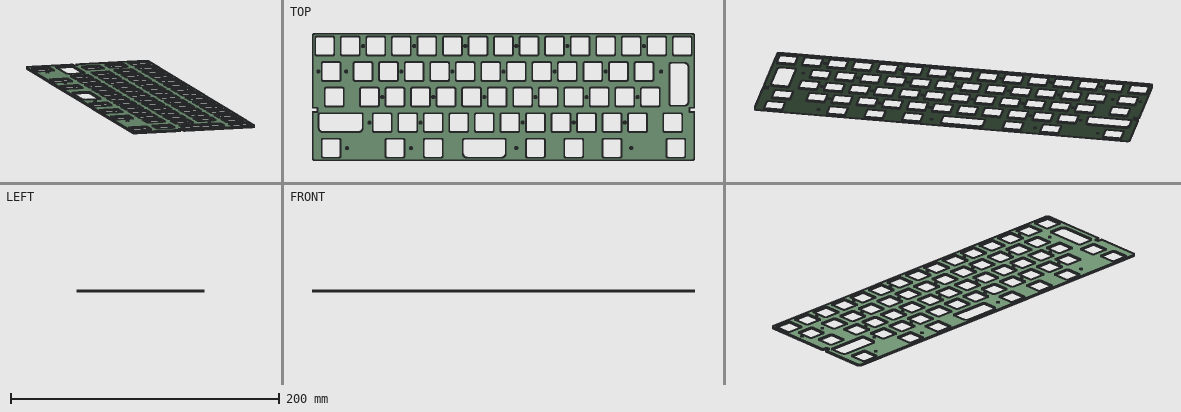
import cadquery as cq

PLATE_LENGTH = 285.0
PLATE_WIDTH = 94.5
PLATE_THICKNESS = 1.2
PLATE_CORNER_RADIUS = 2.0

KEYS_ACROSS = 15
END_KEY_X = 133.5
PITCH = 2 * END_KEY_X / (KEYS_ACROSS - 1)
ROW_Y = [row * PITCH for row in (2, 1, 0, -1, -2)]

KEY_SIZE = 14.0
ENTER_LENGTH = 32.0
SHIFT_LENGTH = 32.8
SPACE_LENGTH = 32.0
OPENING_CORNER_RADIUS = 1.0
WIDE_CORNER_RADIUS = 3.0

HOLE_DIAMETER = 1.62
NOTCH_DEPTH = 3.7
NOTCH_WIDTH = 3.0
NOTCH_Y = -PITCH / 2


def grid_x(position):
    """X of a place counted in key pitches from the left end of the grid."""
    return (position - KEYS_ACROSS / 2) * PITCH


def key_run(first, count):
    """Grid positions of neighbouring keys, one pitch apart."""
    return [first + step for step in range(count)]


KEY_ROWS = [
    key_run(0.5, 15),
    [0.75] + key_run(2, 12),
    [0.875] + key_run(2.25, 12),
    key_run(2.75, 11) + [14.125],
    [0.75, 3.25, 4.75, 8.75, 10.25, 11.75, 14.25],
]

ENTER_POSITION = 14.375
SHIFT_POSITION = 1.125
SPACE_POSITION = 6.75

HOLE_ROWS = [
    [2, 4, 6, 8, 10, 13],
    [0.25, 1.34, 3.5, 5.5, 7.5, 9.5, 11.5, 13.67],
    [2.75, 4.75, 6.75, 8.75, 10.75, 12.75],
    [2.25, 4.25, 8.25, 10.25, 12.25],
    [1.375, 3.875, 8, 12.5],
]


def row_points(rows):
    """XY centres of everything listed row by row."""
    return [(grid_x(position), y) for y, row in zip(ROW_Y, rows) for position in row]


def key_cutter():
    """Round-cornered square prisms, as tall as the plate, for all the single keys."""
    return (
        cq.Workplane("XY")
        .pushPoints(row_points(KEY_ROWS))
        .rect(KEY_SIZE, KEY_SIZE)
        .extrude(PLATE_THICKNESS)
        .edges("|Z")
        .fillet(OPENING_CORNER_RADIUS)
    )


def plate_blank():
    return (
        cq.Workplane("XY")
        .box(PLATE_LENGTH, PLATE_WIDTH, PLATE_THICKNESS, centered=(True, True, False))
        .edges("|Z")
        .fillet(PLATE_CORNER_RADIUS)
    )


def notch_cutter():
    """One notch in each end; each box is centred on the end face."""
    return (
        cq.Workplane("XY")
        .pushPoints([(side * PLATE_LENGTH / 2, NOTCH_Y) for side in (-1, 1)])
        .rect(2 * NOTCH_DEPTH, NOTCH_WIDTH)
        .extrude(PLATE_THICKNESS)
    )


def hole_cutter():
    return (
        cq.Workplane("XY")
        .pushPoints(row_points(HOLE_ROWS))
        .circle(HOLE_DIAMETER / 2)
        .extrude(PLATE_THICKNESS)
    )


def long_opening_cutter(length, centre, turn=0):
    """Long opening with tight corners on its +Y side and wider ones on its -Y side, then turned."""
    return (
        cq.Workplane("XY")
        .rect(length, KEY_SIZE)
        .extrude(PLATE_THICKNESS)
        .edges("|Z and >Y")
        .fillet(OPENING_CORNER_RADIUS)
        .edges("|Z and <Y")
        .fillet(WIDE_CORNER_RADIUS)
        .rotate((0, 0, 0), (0, 0, 1), turn)
        .translate((*centre, 0))
    )


enter_centre = (grid_x(ENTER_POSITION), (ROW_Y[1] + ROW_Y[2]) / 2)
shift_centre = (grid_x(SHIFT_POSITION), ROW_Y[3])
space_centre = (grid_x(SPACE_POSITION), ROW_Y[4])

result = (
    plate_blank()
    .cut(key_cutter())
    .cut(long_opening_cutter(ENTER_LENGTH, enter_centre, turn=90))
    .cut(long_opening_cutter(SHIFT_LENGTH, shift_centre))
    .cut(long_opening_cutter(SPACE_LENGTH, space_centre))
    .cut(notch_cutter())
    .cut(hole_cutter())
)